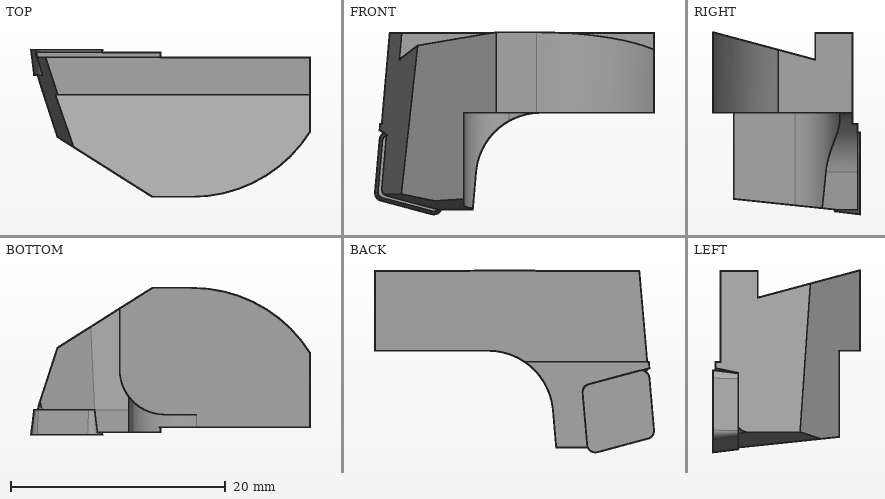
import cadquery as cq
import math


LEAD_ANGLE = 5.0
END_ANGLE = 15.0
BACK_ANGLE = 18.0
LEAD_DIR = 90.0 - LEAD_ANGLE
END_DIR = -END_ANGLE

INSERT_CIRCLE = 6.35
INSERT_THICKNESS = 2.37
INSERT_RELIEF = 7.0
NOSE_RADIUS = 0.78
INSERT_BOTTOM = -16.98
NOSE_ANGLE = LEAD_DIR - END_DIR
INSERT_SIDE = INSERT_CIRCLE / math.sin(math.radians(NOSE_ANGLE))
SEAT_Y = -INSERT_THICKNESS

HEAD_RIGHT = 26.0
REAR_Y = -0.7
FRONT_Y = -13.7
FRONT_FLAT_START = 11.3
FRONT_FLAT_END = 15.0
HEAD_RADIUS = REAR_Y - FRONT_Y
SLANT_ANGLE = 32.3
LEFT_LIMIT = -2.6

RIB_TOP = -0.08
RIB_FRONT_Y = -4.19
TOP_SLOPE = 15.0
STEP_Z = -7.51
BLANK_BOTTOM = -19.5

FLANK_X = 1.38

END_FACE_Z = -15.15
BOTTOM_FACE_Z = -16.77
END_RELIEF = 5.3
BOTTOM_RELIEF = 6.0
SEAT_CORNER_RADIUS = 0.65

PAD_Y = -0.23
PAD_RIGHT = 12.3
PAD_TOP = -8.53

SHANK_RIGHT = 9.13
SHANK_LOW_Z = -16.54
UNDERCUT_RADIUS = 6.0

RECESS_LEFT = 8.27
RECESS_WALL_Y = -1.9
RECESS_RADIUS = 4.19

REACH = 52.0


def tan(angle):
    return math.tan(math.radians(angle))


def polar(start, distance, angle):
    """Point at a distance and direction from a start point."""
    a = math.radians(angle)
    return (start[0] + distance * math.cos(a), start[1] + distance * math.sin(a))


def xz_plane(y):
    """XZ sketch plane at a given Y that extrudes towards -Y."""
    return cq.Workplane("XZ", origin=(0, y, 0))


def half_space(point, normal):
    """Large block that starts on a plane and fills the side its normal points to."""
    return cq.Workplane(cq.Plane(origin=point, normal=normal)).rect(REACH, REACH).extrude(REACH)


CENTRE_SPACING = INSERT_SIDE - NOSE_RADIUS * (tan(NOSE_ANGLE / 2) + 1 / tan(NOSE_ANGLE / 2))
NOSE_CENTRE = (
    NOSE_RADIUS,
    INSERT_BOTTOM + NOSE_RADIUS - CENTRE_SPACING * math.sin(math.radians(END_DIR)),
)
NOSE_BISECTOR = (LEAD_DIR + END_DIR) / 2
INSERT_NOSE = polar(
    NOSE_CENTRE,
    -NOSE_RADIUS / math.sin(math.radians(NOSE_ANGLE / 2)),
    NOSE_BISECTOR,
)


def rhombus(side):
    """Sharp insert outline; its far corner stays in place whatever the side."""
    far_end = polar(INSERT_NOSE, INSERT_SIDE, END_DIR)
    far_corner = polar(far_end, INSERT_SIDE, LEAD_DIR)
    upper = polar(far_corner, -side, END_DIR)
    nose = polar(upper, -side, LEAD_DIR)
    lower = polar(far_corner, -side, LEAD_DIR)
    return [nose, lower, far_corner, upper]


def tapered_rhombus(side):
    """Rounded rhombic block that narrows from the rake face to the seat."""
    sharp = xz_plane(0).polyline(rhombus(side)).close().val()
    rounded = sharp.fillet2D(NOSE_RADIUS, sharp.Vertices())
    return xz_plane(0).add(rounded).toPending().extrude(INSERT_THICKNESS, taper=INSERT_RELIEF)


def head_blank():
    """Plan outline with a round front, under the rib and sloping top."""
    slant_drop = (FRONT_FLAT_START - LEFT_LIMIT) * tan(SLANT_ANGLE)
    right_front_y = REAR_Y - math.sqrt(HEAD_RADIUS**2 - (HEAD_RIGHT - FRONT_FLAT_END) ** 2)
    arc_middle_dir = (math.degrees(math.asin((right_front_y - REAR_Y) / HEAD_RADIUS)) - 90) / 2
    mid_arc = polar((FRONT_FLAT_END, REAR_Y), HEAD_RADIUS, arc_middle_dir)
    plan = (
        cq.Workplane("XY", origin=(0, 0, BLANK_BOTTOM))
        .moveTo(LEFT_LIMIT, REAR_Y)
        .lineTo(LEFT_LIMIT, FRONT_Y + slant_drop)
        .lineTo(FRONT_FLAT_START, FRONT_Y)
        .lineTo(FRONT_FLAT_END, FRONT_Y)
        .threePointArc(mid_arc, (HEAD_RIGHT, right_front_y))
        .lineTo(HEAD_RIGHT, REAR_Y)
        .close()
        .extrude(-BLANK_BOTTOM)
    )
    groove_z = (FRONT_Y - RIB_FRONT_Y) * tan(TOP_SLOPE)
    side = (
        cq.Workplane("YZ", origin=(LEFT_LIMIT, 0, 0))
        .polyline([
            (REAR_Y, BLANK_BOTTOM),
            (REAR_Y, RIB_TOP),
            (RIB_FRONT_Y, RIB_TOP),
            (RIB_FRONT_Y, groove_z),
            (FRONT_Y, 0),
            (FRONT_Y, BLANK_BOTTOM),
        ])
        .close()
        .extrude(HEAD_RIGHT - LEFT_LIMIT)
    )
    return plan.intersect(side)


def rear_pad():
    """Thin raised pad on the rear face around the insert."""
    return (
        xz_plane(PAD_Y)
        .moveTo(LEFT_LIMIT, BLANK_BOTTOM)
        .lineTo(PAD_RIGHT, BLANK_BOTTOM)
        .lineTo(PAD_RIGHT, PAD_TOP)
        .lineTo(LEFT_LIMIT, PAD_TOP)
        .close()
        .extrude(PAD_Y - REAR_Y)
    )


def undercut():
    """Space right of the shank, rounded into the underside of the upper part."""
    tangent = UNDERCUT_RADIUS * tan(LEAD_DIR / 2)
    root = (SHANK_RIGHT + (STEP_Z - SHANK_LOW_Z) * tan(LEAD_ANGLE), STEP_Z)
    arc_start = polar(root, -tangent, LEAD_DIR)
    arc_end = (root[0] + tangent, STEP_Z)
    arc_centre = (arc_end[0], STEP_Z - UNDERCUT_RADIUS)
    arc_middle = polar(arc_centre, UNDERCUT_RADIUS, 90 + LEAD_DIR / 2)
    line_end = polar(root, (BLANK_BOTTOM - STEP_Z) / math.cos(math.radians(LEAD_ANGLE)), LEAD_DIR)
    return (
        xz_plane(0)
        .moveTo(*line_end)
        .lineTo(*arc_start)
        .threePointArc(arc_middle, arc_end)
        .lineTo(REACH, STEP_Z)
        .lineTo(REACH, BLANK_BOTTOM)
        .close()
        .extrude(REACH)
    )


def front_recess():
    """Recess below the step, with a round inner corner."""
    return (
        cq.Workplane("XY", origin=(0, 0, STEP_Z))
        .moveTo(RECESS_LEFT, -REACH)
        .lineTo(RECESS_LEFT, RECESS_WALL_Y - RECESS_RADIUS)
        .radiusArc((RECESS_LEFT + RECESS_RADIUS, RECESS_WALL_Y), RECESS_RADIUS)
        .lineTo(REACH, RECESS_WALL_Y)
        .lineTo(REACH, -REACH)
        .close()
        .extrude(BLANK_BOTTOM - STEP_Z)
    )


def left_flank():
    """Outside of the leaning left flank."""
    return half_space((FLANK_X, REAR_Y, 0), (-1, -tan(BACK_ANGLE), tan(LEAD_ANGLE)))


def end_face():
    """Outside of the sloping face under the insert end."""
    return half_space((0, 0, END_FACE_Z), (-tan(END_ANGLE), -tan(END_RELIEF), -1))


def bottom_face():
    """Outside of the bottom face, which runs level behind the seat."""
    relieved = half_space((0, 0, BOTTOM_FACE_Z), (0, -tan(BOTTOM_RELIEF), -1))
    level_z = BOTTOM_FACE_Z - SEAT_Y * tan(BOTTOM_RELIEF)
    level = half_space((0, SEAT_Y + REACH / 2, level_z), (0, 0, -1))
    return relieved.union(level)


def seat_corner():
    """Waste outside the rounded lower-left corner, in front of the seat."""
    flank_x = FLANK_X + (REAR_Y - SEAT_Y) * tan(BACK_ANGLE)
    end_z = END_FACE_Z - SEAT_Y * tan(END_RELIEF)
    corner_z = (end_z - flank_x * tan(END_ANGLE)) / (1 + tan(LEAD_ANGLE) * tan(END_ANGLE))
    corner = (flank_x + corner_z * tan(LEAD_ANGLE), corner_z)
    tangent = SEAT_CORNER_RADIUS / tan(NOSE_ANGLE / 2)
    to_centre = SEAT_CORNER_RADIUS / math.sin(math.radians(NOSE_ANGLE / 2))
    return (
        xz_plane(SEAT_Y)
        .moveTo(*corner)
        .lineTo(*polar(corner, tangent, LEAD_DIR))
        .threePointArc(
            polar(corner, to_centre - SEAT_CORNER_RADIUS, NOSE_BISECTOR),
            polar(corner, tangent, END_DIR),
        )
        .close()
        .extrude(INSERT_THICKNESS)
    )


insert = tapered_rhombus(INSERT_SIDE)

insert_pocket = tapered_rhombus(2 * INSERT_SIDE)
head = head_blank().union(rear_pad())
for waste in (
    undercut(),
    front_recess(),
    left_flank(),
    end_face(),
    bottom_face(),
    seat_corner(),
    insert_pocket,
):
    head = head.cut(waste)

result = cq.Compound.makeCompound([head.solids().val(), insert.val()])